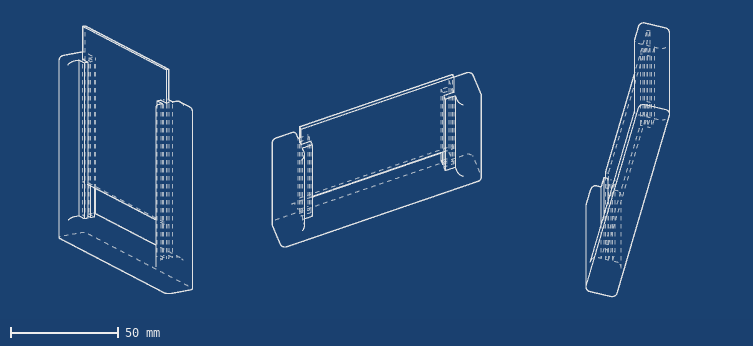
import cadquery as cq

overall_height = 105.4
frame_width = 100.0
frame_depth = 15.0
frame_height = 89.2
edge_radius = 2.5

plate_size = 76.1
floor_height = 13.0

rail_reach = 5.0
rail_thickness = 2.0
plate_thickness = 1.5

opening_width = plate_size
rail_height = frame_height - floor_height
rail_offset = (plate_thickness + rail_thickness) / 2


def make_block(width, depth, height, bottom):
    """Box centred on the Z axis, standing at the given height."""
    return cq.Workplane("XY", origin=(0, 0, bottom)).box(
        width, depth, height, centered=(True, True, False)
    )


def make_u_body():
    """U with rounded edges; the bottom and the upper inner edges of the arms stay sharp."""
    body = make_block(frame_width, frame_depth, frame_height, 0)
    opening = make_block(opening_width, frame_depth, rail_height, floor_height)
    body = body.cut(opening)
    front_and_back_edges = body.faces("<Y or >Y").edges("not <Z")
    outer_top_edges = body.faces("<X or >X").edges(">Z")
    return front_and_back_edges.add(outer_top_edges).fillet(edge_radius)


def make_rail(side, face):
    """One guide rail; side picks the arm and face picks the side of the plate."""
    center_x = side * (opening_width - rail_reach) / 2
    rail = make_block(rail_reach, rail_thickness, rail_height, floor_height)
    return rail.translate((center_x, face * rail_offset, 0))


def make_frame():
    """U body with a pair of rails on each arm forming the plate groove."""
    frame = make_u_body()
    for side in (-1, 1):
        for face in (-1, 1):
            frame = frame.union(make_rail(side, face))
    return frame


def make_plate():
    """Square sliding plate, held between the rails and rising above the frame."""
    return make_block(plate_size, plate_thickness, plate_size, overall_height - plate_size)


frame = make_frame()
plate = make_plate()

result = cq.Compound.makeCompound([frame.val(), plate.val()])